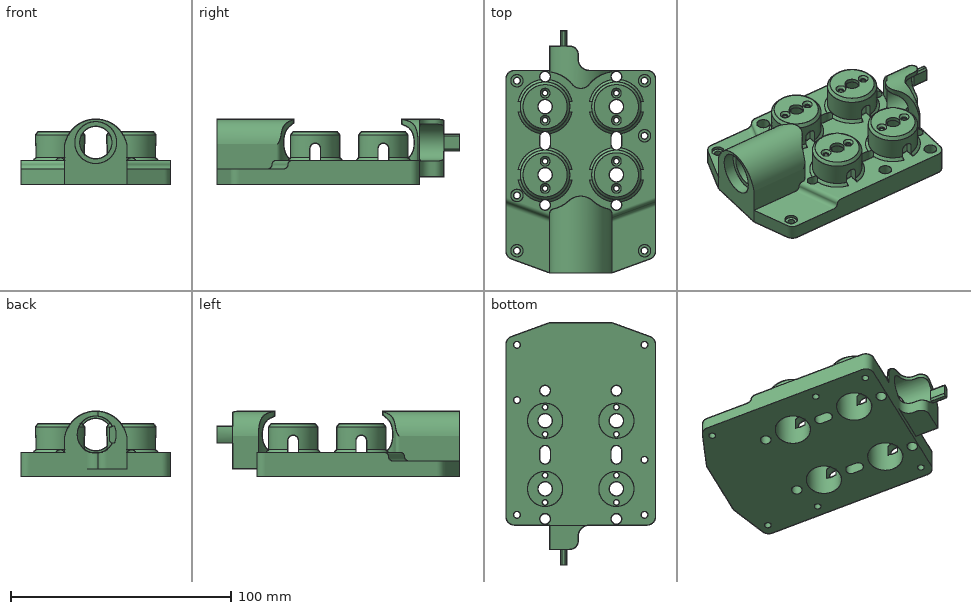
import cadquery as cq
import math

plate_half_width = 34.0
plate_back_y = 92.0
plate_top_z = 11.0
plate_low_z = 7.0
plate_corner_radius = 4.0
taper_angle = math.radians(20)

step_centre_y = 19.8
step_radius = (plate_top_z - plate_low_z) / 2

housing_half_width = 14.1
housing_top_z = 29.7
housing_side_z = 18.3
housing_corner_radius = 2.0
bore_z = 19.0
front_chamber_diameter = 17.9
back_bore_diameter = 16.8
mouth_diameter = 19.0
mouth_depth = 5.0
land_diameter = 14.6
land_depth = 15.0

back_end_y = 103.0
back_bottom_z = 3.4
back_side_x = -1.1
back_outer_radius = 4.0
back_inner_radius = 5.0
pin_end_y = 110.0
pin_x = -7.8
pin_width = 3.0
pin_bulge = 0.8
pin_chamfer = 0.9
pin_height = 7.7

scoop_radius = 16.0
front_tip_radius = 8.0
back_tip_radius = 5.0

dome_x = 16.2
front_dome_y = 44.6
back_dome_y = 75.5
dome_top_z = 24.0
dome_radius = 11.2
dome_chamfer_width = 1.2
dome_chamfer_height = 1.4
dome_flare = 1.2
dome_bore_diameter = 16.0
dome_roof = 1.8
dome_hole_diameter = 6.4
dome_slot_width = 4.7
dome_slot_top_z = 18.7
dome_screw_spacing = 12.3
dome_screw_diameter = 2.4
dome_countersink_diameter = 4.4
dome_countersink_angle = 90

relief_diameter = 4.7
relief_offset = 13.6

mount_x = 28.9
mount_front_y = 10.1
mount_back_y = 87.3
mount_left_y = 35.2
mount_right_y = 62.3
mount_diameter = 3.0
mount_counterbore_diameter = 5.6
mount_seat_z = 5.7

mount_points = [
    (-mount_x, mount_front_y),
    (mount_x, mount_front_y),
    (-mount_x, mount_back_y),
    (mount_x, mount_back_y),
    (-mount_x, mount_left_y),
    (mount_x, mount_right_y),
]
dome_points = [(x, y) for x in (-dome_x, dome_x) for y in (front_dome_y, back_dome_y)]


def make_plate():
    shoulder_y = (plate_half_width - housing_half_width) * math.tan(taper_angle)
    outline = [
        (-housing_half_width, 0),
        (housing_half_width, 0),
        (plate_half_width, shoulder_y),
        (plate_half_width, plate_back_y),
        (-plate_half_width, plate_back_y),
        (-plate_half_width, shoulder_y),
    ]
    plate = cq.Workplane("XY").polyline(outline).close().extrude(plate_top_z)
    plate = plate.edges("|Z and (<X or >X)").fillet(plate_corner_radius)
    step_cut = make_step_cut()
    return plate.cut(step_cut).cut(step_cut.mirror("YZ"))


def make_step_cut():
    """Material removed above the low level, right of centre, ending in an S-shaped rise."""
    reach = 2 * plate_half_width
    bend = step_radius * math.cos(math.pi / 4)
    middle_z = plate_low_z + step_radius
    section = cq.Plane(
        origin=(0, step_centre_y, 0),
        xDir=(-math.sin(taper_angle), math.cos(taper_angle), 0),
        normal=(math.cos(taper_angle), math.sin(taper_angle), 0),
    )
    return (
        cq.Workplane(section)
        .moveTo(-reach, plate_low_z)
        .lineTo(-step_radius, plate_low_z)
        .threePointArc((bend - step_radius, middle_z - bend), (0, middle_z))
        .threePointArc((step_radius - bend, middle_z + bend), (step_radius, plate_top_z))
        .lineTo(-reach, plate_top_z)
        .close()
        .extrude(reach)
    )


def point_on_scoop(side, dome_y, angle):
    """Point on the scoop circle; the angle is measured from the direction to the centre plane."""
    x = side * (dome_x - scoop_radius * math.cos(angle))
    return (x, dome_y + scoop_radius * math.sin(angle))


def add_scooped_end(outline, dome_y, tip_radius, toward):
    """Continue an outline from the +X side across to the -X side around two domes.

    toward is -1 for a housing in front of the domes and +1 for one behind them.
    """
    tip_angle = toward * math.acos(dome_x / (scoop_radius + tip_radius))
    side_angle = toward * math.acos((dome_x - housing_half_width) / scoop_radius)
    middle_angle = (tip_angle + side_angle) / 2
    tip_y = dome_y + (scoop_radius + tip_radius) * math.sin(tip_angle) - toward * tip_radius
    return (
        outline.lineTo(*point_on_scoop(1, dome_y, side_angle))
        .threePointArc(point_on_scoop(1, dome_y, middle_angle), point_on_scoop(1, dome_y, tip_angle))
        .threePointArc((0, tip_y), point_on_scoop(-1, dome_y, tip_angle))
        .threePointArc(point_on_scoop(-1, dome_y, middle_angle), point_on_scoop(-1, dome_y, side_angle))
    )


def make_arched_bar():
    return (
        cq.Workplane("XZ")
        .moveTo(-housing_half_width, 0)
        .lineTo(housing_half_width, 0)
        .lineTo(housing_half_width, housing_side_z)
        .threePointArc((0, housing_top_z), (-housing_half_width, housing_side_z))
        .close()
        .extrude(-back_end_y)
    )


def bore_section(diameter, start_y, length):
    return cq.Workplane("XZ", origin=(0, start_y, bore_z)).circle(diameter / 2).extrude(-length)


def make_front_housing():
    outline = cq.Workplane("XY").moveTo(-housing_half_width, 0).lineTo(housing_half_width, 0)
    outline = add_scooped_end(outline, front_dome_y, front_tip_radius, -1)
    block = outline.close().extrude(housing_top_z)
    rear_corners = cq.selectors.BoxSelector(
        (-plate_half_width, housing_corner_radius, 0),
        (plate_half_width, front_dome_y - scoop_radius + housing_corner_radius, housing_top_z),
    )
    block = block.edges("|Z").edges(rear_corners).fillet(housing_corner_radius)
    return block.intersect(make_arched_bar())


def make_front_bore():
    """Bore with a wide mouth, a narrow land behind it and a chamber at the inner end."""
    inner_start = mouth_depth + land_depth
    return (
        bore_section(mouth_diameter, 0, mouth_depth)
        .union(bore_section(land_diameter, mouth_depth, land_depth))
        .union(bore_section(front_chamber_diameter, inner_start, front_dome_y - inner_start))
    )


def make_back_bore():
    return bore_section(back_bore_diameter, back_dome_y, back_end_y - back_dome_y)


def make_back_housing():
    bend = math.cos(math.pi / 4)
    outer_x = back_side_x - back_outer_radius
    outer_y = back_end_y - back_outer_radius
    inner_x = back_side_x + back_inner_radius
    inner_y = plate_back_y + back_inner_radius
    outline = (
        cq.Workplane("XY", origin=(0, 0, back_bottom_z))
        .moveTo(-housing_half_width, back_end_y)
        .lineTo(outer_x, back_end_y)
        .threePointArc(
            (outer_x + back_outer_radius * bend, outer_y + back_outer_radius * bend),
            (back_side_x, outer_y),
        )
        .lineTo(back_side_x, inner_y)
        .threePointArc(
            (inner_x - back_inner_radius * bend, inner_y - back_inner_radius * bend),
            (inner_x, plate_back_y),
        )
        .lineTo(housing_half_width, plate_back_y)
    )
    outline = add_scooped_end(outline, back_dome_y, back_tip_radius, 1)
    block = outline.close().extrude(housing_top_z - back_bottom_z)
    return block.intersect(make_arched_bar())


def make_pin():
    """Flat pin along Y with one bulging side and two chamfered edges on the other."""
    half_width = pin_width / 2
    half_height = pin_height / 2
    return (
        cq.Workplane("XZ", origin=(pin_x, back_end_y, bore_z))
        .moveTo(pin_bulge - half_width, -half_height)
        .lineTo(half_width - pin_chamfer, -half_height)
        .lineTo(half_width, pin_chamfer - half_height)
        .lineTo(half_width, half_height - pin_chamfer)
        .lineTo(half_width - pin_chamfer, half_height)
        .lineTo(pin_bulge - half_width, half_height)
        .threePointArc((-half_width, 0), (pin_bulge - half_width, -half_height))
        .close()
        .extrude(back_end_y - pin_end_y)
    )


def make_dome():
    """Dome body standing on the plate, centred on the Z axis, notched by the cross slot."""
    flare_radius = dome_radius + dome_flare
    profile = [
        (0, plate_top_z),
        (flare_radius, plate_top_z),
        (dome_radius, plate_top_z + dome_flare),
        (dome_radius, dome_top_z - dome_chamfer_height),
        (dome_radius - dome_chamfer_width, dome_top_z),
        (0, dome_top_z),
    ]
    body = cq.Workplane("XZ").polyline(profile).close().revolve(360, (0, 0, 0), (0, 1, 0))
    slot_radius = dome_slot_width / 2
    slot_arc_z = dome_slot_top_z - slot_radius
    slot = (
        cq.Workplane("YZ")
        .moveTo(-slot_radius, plate_top_z)
        .lineTo(slot_radius, plate_top_z)
        .lineTo(slot_radius, slot_arc_z)
        .threePointArc((0, dome_slot_top_z), (-slot_radius, slot_arc_z))
        .close()
        .extrude(flare_radius, both=True)
    )
    return body.cut(slot)


def cut_dome_openings(part):
    """Hollow each dome from below and drill its roof."""
    cavity_top_z = dome_top_z - dome_roof
    screw_points = [
        (x, y + side * dome_screw_spacing / 2) for x, y in dome_points for side in (-1, 1)
    ]
    part = part.cut(
        cq.Workplane("XY").pushPoints(dome_points).circle(dome_bore_diameter / 2).extrude(cavity_top_z)
    )
    part = part.cut(
        cq.Workplane("XY").pushPoints(dome_points).circle(dome_hole_diameter / 2).extrude(dome_top_z)
    )
    return (
        part.copyWorkplane(cq.Workplane("XY", origin=(0, 0, dome_top_z)))
        .pushPoints(screw_points)
        .cskHole(dome_screw_diameter, dome_countersink_diameter, dome_countersink_angle, depth=dome_top_z)
    )


def cut_relief_holes(part):
    """One hole at each end of a dome row and one long hole between its two domes."""
    radius = relief_diameter / 2
    flare_top_z = plate_top_z + dome_flare
    end_points = [
        (x, y)
        for x in (-dome_x, dome_x)
        for y in (front_dome_y - relief_offset, back_dome_y + relief_offset)
    ]
    holes = cq.Workplane("XY").pushPoints(end_points).circle(radius).extrude(flare_top_z)
    slot_points = [(x, (front_dome_y + back_dome_y) / 2) for x in (-dome_x, dome_x)]
    slot_length = back_dome_y - front_dome_y - 2 * relief_offset + relief_diameter
    slots = (
        cq.Workplane("XY")
        .pushPoints(slot_points)
        .slot2D(slot_length, relief_diameter, 90)
        .extrude(flare_top_z)
    )
    return part.cut(holes).cut(slots)


def cut_mount_holes(part):
    holes = cq.Workplane("XY").pushPoints(mount_points).circle(mount_diameter / 2).extrude(plate_top_z)
    seats = (
        cq.Workplane("XY", origin=(0, 0, mount_seat_z))
        .pushPoints(mount_points)
        .circle(mount_counterbore_diameter / 2)
        .extrude(plate_top_z - mount_seat_z)
    )
    return part.cut(holes).cut(seats)


front_housing = make_front_housing()
back_housing = make_back_housing()
result = make_plate().union(front_housing).union(back_housing)

result = result.cut(make_front_bore().intersect(front_housing))
result = result.cut(make_back_bore().intersect(back_housing))
result = result.union(make_pin())

dome = make_dome()
for x, y in dome_points:
    result = result.union(dome.translate((x, y, 0)))
result = cut_dome_openings(result)
result = cut_relief_holes(result)
result = cut_mount_holes(result)